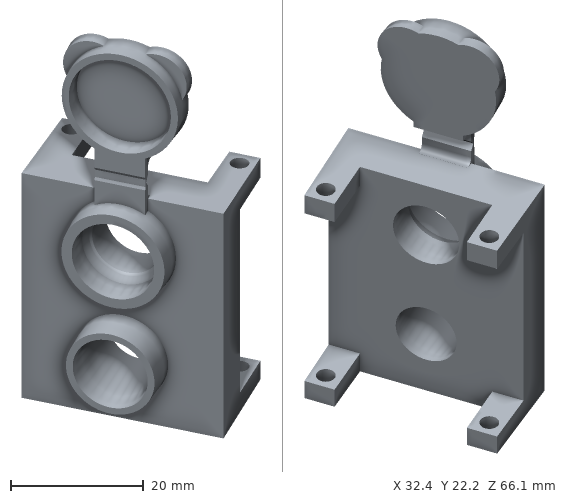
import cadquery as cq
import math

width = 32.4
height = 40.3
depth = 16.8
draft_angle = 1.0
wall = 7.5
leg_gap_x = 21.8
leg_bottom = 3.65
leg_top = 36.5
leg_hole_dia = 3.0
leg_hole_x = 13.5
leg_hole_y = 14.3

port_z = 30.6
collar_height = 4.15
collar_base_dia = 17.1
collar_face_dia = 16.5
port_mouth_dia = 13.2
port_seat_dia = 12.95
seat_end_dia = 11.8
seat_depth = 1.45
ledge_dia = 11.1
ledge_depth = 0.3
port_exit_dia = 10.9

sleeve_z = 11.2
sleeve_projection = 5.35
sleeve_base_dia = 14.6
sleeve_face_dia = 14.2
sleeve_mouth_dia = 12.0
sleeve_exit_dia = 10.05

total_height = 66.1
cap_back_dia = 19.05
cap_front_dia = 18.65
cap_z = total_height - cap_back_dia / 2
cap_back_y = 3.0
recess_mouth_dia = 16.4
recess_floor_dia = 16.0
recess_depth = 3.0
ear_radius = 4.9
ear_front_radius = 4.75
ear_x = 5.15
ear_z = 61.0
ear_thickness = 2.0

strap_width = 8.1
strap_thickness = 1.2
strap_start_z = port_z + 7.0
strap_end_z = 48.25
hinge_z = 43.6
foot_radius = 1.1
cap_foot_z = 2 * hinge_z - height
fold_notch_half = 0.9
fold_notch_depth = 0.8
relief_half = 1.1
relief_floor_half = 0.65
relief_depth = 0.2


def disc(x, z, y_start, dia_start, y_end, dia_end):
    """Solid cone frustum with its axis along Y."""
    profile = [(0, y_start), (dia_start / 2, y_start), (dia_end / 2, y_end), (0, y_end)]
    frustum = cq.Workplane("XY").polyline(profile).close().revolve(360, (0, 0), (0, 1))
    return frustum.translate((x, 0, z))


def make_sleeve():
    flange = disc(0, sleeve_z, -sleeve_projection, sleeve_face_dia, 0, sleeve_base_dia)
    shank = disc(0, sleeve_z, 0, sleeve_base_dia, wall, sleeve_base_dia)
    bore = disc(0, sleeve_z, -sleeve_projection, sleeve_mouth_dia, wall, sleeve_exit_dia)
    return flange.union(shank).cut(bore)


def make_housing():
    body = (
        cq.Workplane("XZ", origin=(0, 0, height / 2))
        .rect(width, height)
        .extrude(-depth, taper=draft_angle)
    )

    channel_y = wall + depth / 2
    leg_gap_z = leg_top - leg_bottom
    side_channel = cq.Workplane("XY").box(2 * width, depth, leg_gap_z)
    side_channel = side_channel.translate((0, channel_y, (leg_top + leg_bottom) / 2))
    upright_channel = cq.Workplane("XY").box(leg_gap_x, depth, 2 * height)
    upright_channel = upright_channel.translate((0, channel_y, height / 2))
    body = body.cut(side_channel).cut(upright_channel)

    leg_holes = (
        cq.Workplane("XY")
        .pushPoints([(-leg_hole_x, leg_hole_y), (leg_hole_x, leg_hole_y)])
        .circle(leg_hole_dia / 2)
        .extrude(height)
    )

    ledge_end = seat_depth + ledge_depth
    seat = disc(0, port_z, 0, port_seat_dia, seat_depth, seat_end_dia)
    ledge = disc(0, port_z, seat_depth, seat_end_dia, ledge_end, ledge_dia)
    rear_bore = disc(0, port_z, ledge_end, ledge_dia, wall, port_exit_dia)

    sleeve_hole = disc(0, sleeve_z, 0, sleeve_base_dia, wall, sleeve_base_dia)
    for opening in (leg_holes, seat, ledge, rear_bore, sleeve_hole):
        body = body.cut(opening)
    return body


def make_strap():
    arc_offset = foot_radius * (1 - math.sqrt(0.5))
    lower_foot_top = height + foot_radius
    upper_foot_bottom = cap_foot_z - foot_radius
    profile = (
        cq.Workplane("YZ", origin=(-strap_width / 2, 0, 0))
        .moveTo(-strap_thickness, strap_start_z)
        .lineTo(0, strap_start_z)
        .lineTo(0, height - foot_radius)
        .lineTo(foot_radius, height - foot_radius)
        .lineTo(foot_radius, height)
        .threePointArc((arc_offset, height + arc_offset), (0, lower_foot_top))
        .lineTo(0, hinge_z - fold_notch_half)
        .lineTo(-fold_notch_depth, hinge_z)
        .lineTo(0, hinge_z + fold_notch_half)
        .lineTo(0, upper_foot_bottom)
        .threePointArc((arc_offset, cap_foot_z - arc_offset), (foot_radius, cap_foot_z))
        .lineTo(cap_back_y, cap_foot_z)
        .lineTo(cap_back_y, strap_end_z)
        .lineTo(-strap_thickness, strap_end_z)
        .lineTo(-strap_thickness, hinge_z + relief_half)
        .lineTo(-strap_thickness + relief_depth, hinge_z + relief_floor_half)
        .lineTo(-strap_thickness + relief_depth, hinge_z - relief_floor_half)
        .lineTo(-strap_thickness, hinge_z - relief_half)
        .close()
    )
    return profile.extrude(strap_width)


def make_cap():
    front_y = -strap_thickness
    cap = disc(0, cap_z, front_y, cap_front_dia, cap_back_y, cap_back_dia)
    for side in (-1, 1):
        ear_front_y = cap_back_y - ear_thickness
        ear = disc(side * ear_x, ear_z, ear_front_y, 2 * ear_front_radius, cap_back_y, 2 * ear_radius)
        cap = cap.union(ear)
    recess = disc(0, cap_z, front_y, recess_mouth_dia, front_y + recess_depth, recess_floor_dia)
    return cap.cut(recess)


def make_port_cover(housing):
    """Collar, strap and cap moulded in one piece; the strap foot rests on the housing top."""
    collar = disc(0, port_z, -collar_height, collar_face_dia, 0, collar_base_dia)
    mouth = disc(0, port_z, -collar_height, port_mouth_dia, 0, port_seat_dia)
    foot_on_housing = make_strap().cut(housing)
    return collar.cut(mouth).union(foot_on_housing).union(make_cap())


housing = make_housing()
port_cover = make_port_cover(housing)
sleeve = make_sleeve()

result = cq.Compound.makeCompound([body.solids().val() for body in (housing, port_cover, sleeve)])